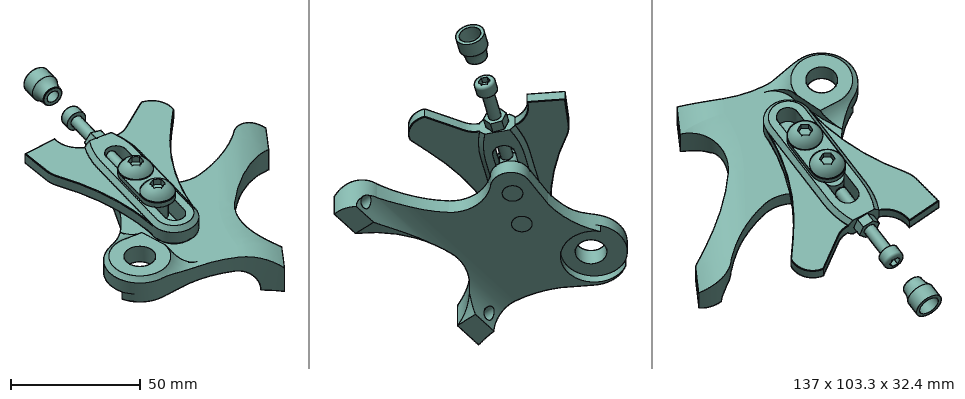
import cadquery as cq
import math


SPINE_HEIGHT = 9.2
SPINE_HALF_HEIGHT = SPINE_HEIGHT / 2
SPINE_HALF_WIDTH = 9.6
SPINE_BEVEL = 1.9
SPINE_LEFT_X = 47.0
SPINE_LEFT_HALF_WIDTH = 7.0
SPINE_STRAIGHT_X = 60.4
SPINE_END_CENTER_X = 101.2
WING_HALF_HEIGHT = 2.5
WING_EDGE_CHAMFER = 0.3
SLOT_WIDTH = 8.8
SLOT_LEFT_X = 54.2
SLOT_RIGHT_X = 105.9

BOLT_XS = (73.2, 89.2)
BOLT_DIAMETER = 8.0
BOLT_HEAD_DIAMETER = 13.7
BOLT_HEAD_RIM = 0.4
BOLT_MOUTH_Z = 10.8
BOLT_SOCKET_FLATS = 5.1
BOLT_SOCKET_DEPTH = 2.7
WASHER_WIDTH = 14.0
WASHER_THICKNESS = 2.2

SCREW_DIAMETER = 5.0
SCREW_HEAD_X = 24.4
SCREW_HEAD_DIAMETER = 8.4
SCREW_HEAD_LENGTH = 5.1
SCREW_HEAD_ROUND = 1.2
SCREW_TIP_X = 64.4
SCREW_TIP_CHAMFER = 0.8
SCREW_SOCKET_FLATS = 4.0
SCREW_SOCKET_DEPTH = 2.5
NUT_FLATS = 8.0
NUT_THICKNESS = 4.2
NUT_TURN = -8.0
SLEEVE_DIAMETER = 11.4
SLEEVE_LENGTH = 12.0
SLEEVE_STRAIGHT_LENGTH = 6.3
SLEEVE_NECK_DIAMETER = 8.5
SLEEVE_MOUTH_DIAMETER = 8.5
SLEEVE_INNER_DIAMETER = 5.1
SLEEVE_NECK_CHAMFER = 0.3
SLEEVE_WAIST_SAG = 0.4
SLEEVE_BORE_DEPTH = 6.3

PLATE_TOP = -SPINE_HALF_HEIGHT
PLATE_BOTTOM = -11.4
LEG_BOTTOM = -21.6
LEG_ANGLE = -26.8
LEG_TIP_WIDTH = 12.9
LEGS_SPAN = 87.0
LEG_CORNER = (59.3, 67.3)
LEG_THICKNESS = 9.0
LEG_HOLE_DIAMETER = 5.0
LEG_HOLE_Z = -16.6
ARCH_MID = (30.1, -15.0)
ARCH_PEAK = (56.9, -12.2)
BEND_RADIUS = 31.5
FIRST_LEG_BEND = 19.6
SECOND_LEG_BEND = 17.5
EDGE_START = (71.4, 38.2)
EDGE_END = (94.7, 24.2)
EDGE_ARC_RADIUS = 56.2
PIVOT = (112.0, -22.0)
PIVOT_RADIUS = 14.0
PIVOT_HOLE_DIAMETER = 12.2
PIVOT_TOP = 0.0
PIVOT_TOP_RADIUS = 11.9
FLARE_RUN = 10.3
RECESS_CEILING = -7.8
RECESS_CENTER = (111.6, -23.4)
RECESS_RADIUS = 13.0
NOSE_CENTER_X = 70.3
NOSE_RADIUS = 8.0
NOSE_SHOULDER = 2.3
RAIL_WIDTH = 8.4
RAIL_LEFT_X = 64.8
RAIL_TOP = 3.3
REACH = 137.0

LEG_U = (math.cos(math.radians(LEG_ANGLE)), math.sin(math.radians(LEG_ANGLE)))
LEG_N = (-LEG_U[1], LEG_U[0])


def obround(left_x, right_x, width, bottom, top):
    """Upright obround on the X axis, from left_x to right_x over its round ends."""
    length = right_x - left_x
    return (
        cq.Workplane("XY", origin=((left_x + right_x) / 2, 0, bottom))
        .slot2D(length, width)
        .extrude(top - bottom)
    )


def hexagon(workplane, flats):
    return workplane.polygon(6, flats / math.cos(math.pi / 6))


def x_cylinder(start_x, end_x, diameter):
    return cq.Workplane("YZ", origin=(start_x, 0, 0)).circle(diameter / 2).extrude(end_x - start_x)


def along_legs(u):
    """Point of the tip line at the distance u from the corner of the first leg."""
    return (LEG_CORNER[0] + u * LEG_U[0], LEG_CORNER[1] + u * LEG_U[1])


def pivot_point(angle):
    """Point of the pivot boss outline at an angle in degrees."""
    turn = math.radians(angle)
    return (PIVOT[0] + PIVOT_RADIUS * math.cos(turn), PIVOT[1] + PIVOT_RADIUS * math.sin(turn))


def bracket_outline():
    nose_x = NOSE_CENTER_X - NOSE_SHOULDER
    nose_y = math.sqrt(NOSE_RADIUS**2 - NOSE_SHOULDER**2)
    return (
        cq.Workplane("XY")
        .moveTo(*LEG_CORNER)
        .threePointArc((57.3, 61.9), (62.0, 50.8))
        .threePointArc((71.1, 39.7), (77.1, 25.9))
        .threePointArc((75.3, 14.0), (nose_x, nose_y))
        .threePointArc((NOSE_CENTER_X - NOSE_RADIUS, 0), (nose_x, -nose_y))
        .lineTo(81.6, -12.2)
        .threePointArc((91.9, -18.9), pivot_point(209))
        .threePointArc(pivot_point(290), pivot_point(7))
        .lineTo(124.2, -7.1)
        .threePointArc((127.7, 13.2), along_legs(LEGS_SPAN))
        .lineTo(*along_legs(LEGS_SPAN - LEG_TIP_WIDTH))
        .threePointArc((111.2, 25.9), (98.2, 29.2))
        .threePointArc((83.0, 43.2), along_legs(LEG_TIP_WIDTH))
        .close()
    )


def bend_section(plane):
    """Area above the round-over; local x is the distance beyond the start of the bend."""
    end = BEND_RADIUS / math.sqrt(2)
    return (
        cq.Workplane(plane)
        .moveTo(0, PLATE_TOP)
        .radiusArc((end, PLATE_TOP - BEND_RADIUS + end), BEND_RADIUS)
        .lineTo(end, PLATE_TOP)
        .close()
    )


def leg_bend(bend_length, reach):
    """Round-over towards one leg tip, from the middle between the legs out to a signed reach."""
    middle = along_legs(LEGS_SPAN / 2)
    start = (middle[0] - bend_length * LEG_N[0], middle[1] - bend_length * LEG_N[1], 0)
    plane = cq.Plane(start, xDir=(*LEG_N, 0), normal=(*LEG_U, 0))
    return bend_section(plane).extrude(reach)


def edge_bend():
    """Round-over along the outer edge: a straight part, then a tangent arc to the second leg."""
    run = (EDGE_END[0] - EDGE_START[0], EDGE_END[1] - EDGE_START[1])
    length = math.hypot(*run)
    forward = (run[0] / length, run[1] / length, 0)
    outward = (-forward[1], forward[0], 0)
    plane = cq.Plane((*EDGE_END, 0), xDir=outward, normal=forward)
    straight = bend_section(plane).extrude(-REACH)
    arc = bend_section(plane).revolve(360, (EDGE_ARC_RADIUS, 0, 0), (EDGE_ARC_RADIUS, 1, 0))
    return straight.union(arc)


def plate_underside():
    """Everything below the plate and behind the legs, with a quarter-round inside each leg."""
    plane = cq.Plane((*LEG_CORNER, 0), xDir=(-LEG_N[0], -LEG_N[1], 0), normal=(-LEG_U[0], -LEG_U[1], 0))
    radius = PLATE_BOTTOM - LEG_BOTTOM
    return (
        cq.Workplane(plane)
        .moveTo(LEG_THICKNESS, LEG_BOTTOM)
        .radiusArc((LEG_THICKNESS + radius, PLATE_BOTTOM), radius)
        .lineTo(REACH, PLATE_BOTTOM)
        .lineTo(REACH, LEG_BOTTOM)
        .close()
        .extrude(REACH, both=True)
    )


def arch():
    """Arch between the two legs, steeper towards the second one."""
    right_u = LEGS_SPAN - LEG_TIP_WIDTH
    run = right_u - ARCH_PEAK[0]
    rise = ARCH_PEAK[1] - LEG_BOTTOM
    right_radius = (run**2 + rise**2) / (2 * rise)
    plane = cq.Plane((*LEG_CORNER, 0), xDir=(*LEG_U, 0), normal=(LEG_U[1], -LEG_U[0], 0))
    return (
        cq.Workplane(plane)
        .moveTo(LEG_TIP_WIDTH, LEG_BOTTOM)
        .threePointArc(ARCH_MID, ARCH_PEAK)
        .radiusArc((right_u, LEG_BOTTOM), right_radius)
        .close()
        .extrude(REACH, both=True)
    )


def leg_holes():
    plane = cq.Plane((*LEG_CORNER, 0), xDir=(*LEG_U, 0), normal=(LEG_U[1], -LEG_U[0], 0))
    centers = [(LEG_TIP_WIDTH / 2, LEG_HOLE_Z), (LEGS_SPAN - LEG_TIP_WIDTH / 2, LEG_HOLE_Z)]
    depth = LEG_THICKNESS + PLATE_BOTTOM - LEG_BOTTOM
    return cq.Workplane(plane).pushPoints(centers).circle(LEG_HOLE_DIAMETER / 2).extrude(depth)


def boss_section():
    """Half section of the pivot boss, with a concave flare at its foot."""
    flare_drop = PIVOT_TOP - PLATE_TOP
    flare_radius = (FLARE_RUN**2 + flare_drop**2) / (2 * flare_drop)
    foot_radius = PIVOT_TOP_RADIUS + FLARE_RUN
    return (
        cq.Workplane("XZ", origin=(*PIVOT, 0))
        .moveTo(0, PLATE_BOTTOM)
        .lineTo(0, PIVOT_TOP)
        .lineTo(-PIVOT_TOP_RADIUS, PIVOT_TOP)
        .radiusArc((-foot_radius, PLATE_TOP), flare_radius)
        .lineTo(-foot_radius, PLATE_BOTTOM)
        .close()
    )


def pivot_boss():
    """Flared boss, kept inside the outline and clear of the sliding slider."""
    round_flare = boss_section().revolve(360, (0, 0, 0), (0, 1, 0))
    straight_flare = boss_section().extrude(-PIVOT_TOP_RADIUS)
    flare = round_flare.union(straight_flare)
    slider_path = (
        cq.Workplane("XY", origin=(0, 0, PLATE_TOP))
        .moveTo(85.0, -20.8)
        .lineTo(98.9, -14.2)
        .lineTo(111.9, -9.9)
        .threePointArc((118.8, -7.1), (121.5, -2.6))
        .lineTo(121.5, SPINE_HALF_WIDTH)
        .lineTo(85.0, SPINE_HALF_WIDTH)
        .close()
        .extrude(PIVOT_TOP - PLATE_TOP)
    )
    column = bracket_outline().extrude(PIVOT_TOP - PLATE_BOTTOM).translate((0, 0, PLATE_BOTTOM))
    return flare.intersect(column).cut(slider_path)


def pivot_recess():
    """Round recess under the pivot boss, set off-centre so that it breaks out of the outer wall."""
    return (
        cq.Workplane("XY", origin=(*RECESS_CENTER, PLATE_BOTTOM))
        .circle(RECESS_RADIUS)
        .extrude(RECESS_CEILING - PLATE_BOTTOM)
    )


def make_bracket():
    body = bracket_outline().extrude(PLATE_TOP - LEG_BOTTOM).translate((0, 0, LEG_BOTTOM))
    bends = [leg_bend(FIRST_LEG_BEND, -REACH), leg_bend(SECOND_LEG_BEND, REACH), edge_bend()]
    for cutter in [*bends, plate_underside(), arch()]:
        body = body.cut(cutter)
    rail_right_x = BOLT_XS[1] + RAIL_WIDTH / 2
    body = body.union(pivot_boss())
    body = body.union(obround(RAIL_LEFT_X, rail_right_x, RAIL_WIDTH, PLATE_BOTTOM, RAIL_TOP))
    bolt_holes = (
        cq.Workplane("XY", origin=(0, 0, PLATE_BOTTOM))
        .pushPoints([(x, 0) for x in BOLT_XS])
        .circle(BOLT_DIAMETER / 2)
        .extrude(RAIL_TOP - PLATE_BOTTOM)
    )
    pivot_hole = (
        cq.Workplane("XY", origin=(*PIVOT, PLATE_BOTTOM))
        .circle(PIVOT_HOLE_DIAMETER / 2)
        .extrude(PIVOT_TOP - PLATE_BOTTOM)
    )
    return body.cut(leg_holes()).cut(bolt_holes).cut(pivot_hole).cut(pivot_recess())


def taper_radius():
    """Radius of the arcs that narrow the spine towards its left end."""
    run = SPINE_STRAIGHT_X - SPINE_LEFT_X
    narrowing = SPINE_HALF_WIDTH - SPINE_LEFT_HALF_WIDTH
    return (run**2 + narrowing**2) / (2 * narrowing)


def spine():
    return (
        cq.Workplane("XY", origin=(0, 0, -SPINE_HALF_HEIGHT))
        .moveTo(SPINE_STRAIGHT_X, SPINE_HALF_WIDTH)
        .lineTo(SPINE_END_CENTER_X, SPINE_HALF_WIDTH)
        .threePointArc((SPINE_END_CENTER_X + SPINE_HALF_WIDTH, 0), (SPINE_END_CENTER_X, -SPINE_HALF_WIDTH))
        .lineTo(SPINE_STRAIGHT_X, -SPINE_HALF_WIDTH)
        .radiusArc((SPINE_LEFT_X, -SPINE_LEFT_HALF_WIDTH), taper_radius())
        .lineTo(SPINE_LEFT_X, SPINE_LEFT_HALF_WIDTH)
        .radiusArc((SPINE_STRAIGHT_X, SPINE_HALF_WIDTH), taper_radius())
        .close()
        .extrude(SPINE_HEIGHT)
        .faces("|Z")
        .edges("not <X")
        .chamfer(SPINE_BEVEL)
    )


def wings():
    return (
        cq.Workplane("XY", origin=(0, 0, -WING_HALF_HEIGHT))
        .moveTo(SPINE_LEFT_X, SPINE_LEFT_HALF_WIDTH)
        .threePointArc((46.5, 10.1), (44.8, 13.0))
        .lineTo(35.0, 25.9)
        .threePointArc((38.5, 32.3), (45.5, 34.1))
        .lineTo(52.7, 28.8)
        .threePointArc((72.0, 17.3), (SPINE_END_CENTER_X, SPINE_HALF_WIDTH))
        .threePointArc((SPINE_END_CENTER_X + SPINE_HALF_WIDTH, 0), (SPINE_END_CENTER_X, -SPINE_HALF_WIDTH))
        .threePointArc((78.4, -14.5), (56.7, -25.3))
        .threePointArc((54.5, -26.5), (52.2, -27.1))
        .lineTo(38.4, -28.8)
        .lineTo(36.5, -14.1)
        .threePointArc((43.7, -11.6), (SPINE_LEFT_X, -SPINE_LEFT_HALF_WIDTH))
        .close()
        .extrude(2 * WING_HALF_HEIGHT)
        .faces("|Z")
        .chamfer(WING_EDGE_CHAMFER)
    )


def make_slider():
    slot = obround(SLOT_LEFT_X, SLOT_RIGHT_X, SLOT_WIDTH, -SPINE_HALF_HEIGHT, SPINE_HALF_HEIGHT)
    screw_hole = x_cylinder(SPINE_LEFT_X, SLOT_LEFT_X + SLOT_WIDTH / 2, SCREW_DIAMETER)
    return wings().union(spine()).cut(slot).cut(screw_hole)


def make_bolt(x):
    """Button-head screw whose shank ends flush with the underside of the plate."""
    head_radius = BOLT_HEAD_DIAMETER / 2
    head_bottom = SPINE_HALF_HEIGHT + WASHER_THICKNESS
    mouth_radius = BOLT_SOCKET_FLATS / 2
    dome_base = head_bottom + BOLT_HEAD_RIM
    dome_rise = BOLT_MOUTH_Z - dome_base
    center_depth = (head_radius**2 - mouth_radius**2 - dome_rise**2) / (2 * dome_rise)
    dome_radius = math.hypot(head_radius, center_depth)
    apex_z = dome_base - center_depth + dome_radius
    body = (
        cq.Workplane("XZ", origin=(x, 0, 0))
        .moveTo(0, PLATE_BOTTOM)
        .lineTo(BOLT_DIAMETER / 2, PLATE_BOTTOM)
        .lineTo(BOLT_DIAMETER / 2, head_bottom)
        .lineTo(head_radius, head_bottom)
        .lineTo(head_radius, dome_base)
        .threePointArc((mouth_radius, BOLT_MOUTH_Z), (0, apex_z))
        .close()
        .revolve(360, (0, 0, 0), (0, 1, 0))
    )
    socket = hexagon(cq.Workplane("XY", origin=(x, 0, BOLT_MOUTH_Z - BOLT_SOCKET_DEPTH)), BOLT_SOCKET_FLATS)
    return body.cut(socket.extrude(apex_z - BOLT_MOUTH_Z + BOLT_SOCKET_DEPTH))


def make_washer():
    bottom = SPINE_HALF_HEIGHT
    left_x = BOLT_XS[0] - WASHER_WIDTH / 2
    right_x = BOLT_XS[1] + WASHER_WIDTH / 2
    holes = cq.Workplane("XY", origin=(0, 0, bottom)).pushPoints([(x, 0) for x in BOLT_XS])
    holes = holes.circle(BOLT_DIAMETER / 2).extrude(WASHER_THICKNESS)
    return obround(left_x, right_x, WASHER_WIDTH, bottom, bottom + WASHER_THICKNESS).cut(holes)


def make_adjusting_screw():
    head_end_x = SCREW_HEAD_X + SCREW_HEAD_LENGTH
    head = x_cylinder(SCREW_HEAD_X, head_end_x, SCREW_HEAD_DIAMETER)
    head = head.faces("<X").edges().fillet(SCREW_HEAD_ROUND)
    shank = x_cylinder(head_end_x, SCREW_TIP_X, SCREW_DIAMETER).faces(">X").chamfer(SCREW_TIP_CHAMFER)
    socket = hexagon(cq.Workplane("YZ", origin=(SCREW_HEAD_X, 0, 0)), SCREW_SOCKET_FLATS)
    return head.union(shank).cut(socket.extrude(SCREW_SOCKET_DEPTH))


def make_nut():
    """Hexagon nut tightened against the left end of the slider."""
    nut_x = SPINE_LEFT_X - NUT_THICKNESS
    blank = hexagon(cq.Workplane("YZ", origin=(nut_x, 0, 0)), NUT_FLATS).extrude(NUT_THICKNESS)
    blank = blank.rotate((0, 0, 0), (1, 0, 0), NUT_TURN)
    return blank.cut(x_cylinder(nut_x, SPINE_LEFT_X, SCREW_DIAMETER))


def make_sleeve():
    """Round sleeve with a waisted neck and a tapered bore."""
    neck_radius = SLEEVE_NECK_DIAMETER / 2
    return (
        cq.Workplane("XY")
        .moveTo(0, SLEEVE_MOUTH_DIAMETER / 2)
        .lineTo(0, SLEEVE_DIAMETER / 2)
        .lineTo(SLEEVE_STRAIGHT_LENGTH, SLEEVE_DIAMETER / 2)
        .sagittaArc((SLEEVE_LENGTH - SLEEVE_NECK_CHAMFER, neck_radius), -SLEEVE_WAIST_SAG)
        .lineTo(SLEEVE_LENGTH, neck_radius - SLEEVE_NECK_CHAMFER)
        .lineTo(SLEEVE_LENGTH, SLEEVE_INNER_DIAMETER / 2)
        .lineTo(SLEEVE_BORE_DEPTH, SLEEVE_MOUTH_DIAMETER / 2)
        .close()
        .revolve(360, (0, 0, 0), (1, 0, 0))
    )


bracket = make_bracket()
slider = make_slider()
washer = make_washer()
bolts = [make_bolt(x) for x in BOLT_XS]
adjusting_screw = make_adjusting_screw()
nut = make_nut()
sleeve = make_sleeve()

bodies = [bracket, slider, washer, *bolts, adjusting_screw, nut, sleeve]
result = cq.Compound.makeCompound([body.solids().val() for body in bodies])